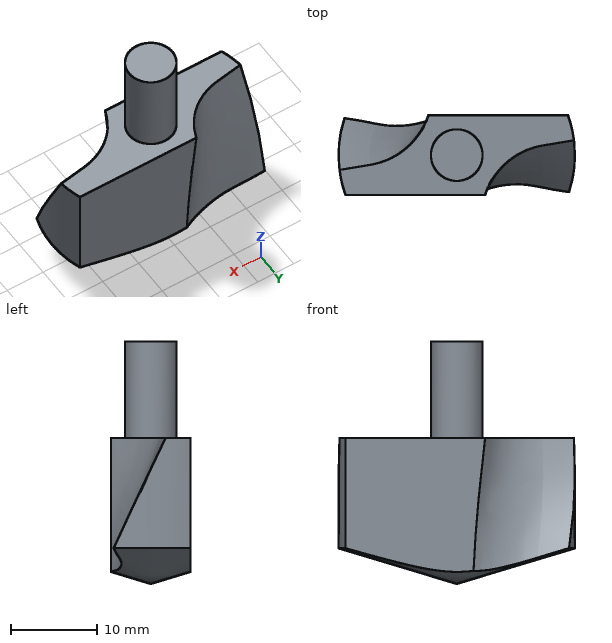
import cadquery as cq
import math

total_height = 28.2
body_top = 16.98
rim_height = 4.15
blade_diameter = 27.5
blade_thickness = 9.28
shank_diameter = 6.0

lip_start = (10.05, 1.13)
lip_angle = 9.4
gullet_radius = 8.57
lip_length = 6.77
twist_rate = 1.986

blade_radius = blade_diameter / 2


def make_blade():
    """Round pointed blank, flattened on its two Y sides."""
    blank = (
        cq.Workplane("XZ")
        .polyline([(0, 0), (blade_radius, rim_height), (blade_radius, body_top), (0, body_top)])
        .close()
        .revolve(360, (0, 0, 0), (0, 1, 0))
    )
    slab = cq.Workplane("XY").box(
        blade_diameter, blade_thickness, body_top, centered=(True, True, False)
    )
    return blank.intersect(slab)


def make_flute():
    """Helical cutter on the +X, -Y side, twisting from the shoulder down to the tip."""
    lip = math.radians(lip_angle)
    center_x = lip_start[0] + gullet_radius * math.sin(lip)
    center_y = lip_start[1] - gullet_radius * math.cos(lip)
    mid_angle = (math.pi / 2 + lip + math.pi) / 2
    gullet_middle = (
        center_x + gullet_radius * math.cos(mid_angle),
        center_y + gullet_radius * math.sin(mid_angle),
    )
    lip_end = (
        lip_start[0] + lip_length * math.cos(lip),
        lip_start[1] + lip_length * math.sin(lip),
    )
    return (
        cq.Workplane("XY", origin=(0, 0, body_top))
        .moveTo(center_x - gullet_radius, center_y)
        .threePointArc(gullet_middle, lip_start)
        .lineTo(*lip_end)
        .lineTo(lip_end[0], center_y)
        .close()
        .twistExtrude(-body_top, twist_rate * body_top)
    )


flute = make_flute()
opposite_flute = flute.rotate((0, 0, 0), (0, 0, 1), 180)

shank = (
    cq.Workplane("XY", origin=(0, 0, body_top))
    .circle(shank_diameter / 2)
    .extrude(total_height - body_top)
)

result = make_blade().cut(flute).cut(opposite_flute).union(shank)